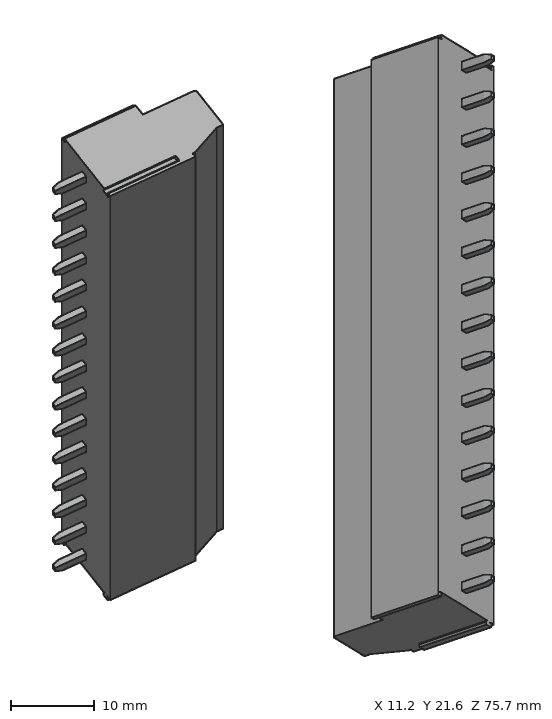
import cadquery as cq

WIDTH = 11.2
DEPTH = 17.4
LEDGE_WIDTH = 2.3
LEDGE_DEPTH = 10.0
BACK_RIGHT_X = 8.6
BACK_RIGHT_DROP = 0.9
SHOULDER_WIDTH = 0.6
SHOULDER_DEPTH = 11.95
SLOPE_FOOT_RISE = 0.3
CORNER_CHAMFER = 0.2

TOTAL_HEIGHT = 75.65
RAIL_HEIGHT = 0.6
HOUSING_HEIGHT = TOTAL_HEIGHT - RAIL_HEIGHT

LEFT_NECK = 0.45
RIGHT_NECK_START = 9.8
RIGHT_NECK_END = 10.5
FLARE = 0.265
RAIL_TIP_FLARE = 0.11
GROOVE_DEPTH = 0.6
LEAD_IN_WIDTH = 0.2
LEAD_IN_HEIGHT = 0.15

PIN_COUNT = 15
PIN_PITCH = HOUSING_HEIGHT / PIN_COUNT
PIN_X = 5.2
PIN_WIDTH = 0.9
PIN_HEIGHT = 1.1
PIN_LENGTH = 4.2
TIP_LENGTH = 0.9
TIP_WIDTH = 0.6
TIP_HEIGHT = 0.6


def make_housing():
    """Block whose stepped outline has a sloped back right corner."""
    slope_foot_x = WIDTH - SHOULDER_WIDTH
    outline = [
        (0, 0),
        (WIDTH, 0),
        (WIDTH, SHOULDER_DEPTH),
        (slope_foot_x, SHOULDER_DEPTH),
        (slope_foot_x, SHOULDER_DEPTH + SLOPE_FOOT_RISE),
        (BACK_RIGHT_X, DEPTH - BACK_RIGHT_DROP),
        (BACK_RIGHT_X, DEPTH),
        (LEDGE_WIDTH + CORNER_CHAMFER, DEPTH),
        (LEDGE_WIDTH, DEPTH - CORNER_CHAMFER),
        (LEDGE_WIDTH, LEDGE_DEPTH),
        (0, LEDGE_DEPTH),
    ]
    return cq.Workplane("XY").polyline(outline).close().extrude(HOUSING_HEIGHT)


def extrude_along_ledge(profile):
    """Bar with an XZ profile, running from the front face to the back of the ledge."""
    return cq.Workplane("XZ").polyline(profile).close().extrude(-LEDGE_DEPTH)


def make_rails():
    """Rails below the housing, widest at half height and narrower again at the tip."""
    bulge_z = -RAIL_HEIGHT / 2
    tip_z = -RAIL_HEIGHT
    left = [
        (0, 0),
        (LEFT_NECK, 0),
        (LEFT_NECK + FLARE, bulge_z),
        (LEFT_NECK + RAIL_TIP_FLARE, tip_z),
        (0, tip_z),
    ]
    right = [
        (RIGHT_NECK_START, 0),
        (RIGHT_NECK_END, 0),
        (RIGHT_NECK_END + FLARE, bulge_z),
        (RIGHT_NECK_END + RAIL_TIP_FLARE, tip_z),
        (RIGHT_NECK_START - RAIL_TIP_FLARE, tip_z),
        (RIGHT_NECK_START - FLARE, bulge_z),
    ]
    return extrude_along_ledge(left).union(extrude_along_ledge(right))


def make_grooves():
    """Groove cutters: a bevelled mouth, a neck just below it and a wider floor."""
    neck_z = HOUSING_HEIGHT - LEAD_IN_HEIGHT
    floor_z = HOUSING_HEIGHT - GROOVE_DEPTH
    left = [
        (0, HOUSING_HEIGHT),
        (LEFT_NECK + LEAD_IN_WIDTH, HOUSING_HEIGHT),
        (LEFT_NECK, neck_z),
        (LEFT_NECK + FLARE, floor_z),
        (0, floor_z),
    ]
    right = [
        (RIGHT_NECK_START, HOUSING_HEIGHT),
        (RIGHT_NECK_END + LEAD_IN_WIDTH, HOUSING_HEIGHT),
        (RIGHT_NECK_END, neck_z),
        (RIGHT_NECK_END + FLARE, floor_z),
        (RIGHT_NECK_START - FLARE, floor_z),
    ]
    return extrude_along_ledge(left).union(extrude_along_ledge(right))


def make_pin(z):
    """Rectangular pin that reaches forward from the front face and tapers at its tip."""
    shank_length = PIN_LENGTH - TIP_LENGTH
    shank = (
        cq.Workplane("XZ")
        .center(PIN_X, z)
        .rect(PIN_WIDTH, PIN_HEIGHT)
        .extrude(shank_length)
    )
    tip = (
        cq.Workplane("XZ", origin=(PIN_X, -shank_length, z))
        .rect(PIN_WIDTH, PIN_HEIGHT)
        .workplane(offset=TIP_LENGTH)
        .rect(TIP_WIDTH, TIP_HEIGHT)
        .loft()
    )
    return shank.union(tip)


result = make_housing()
result = result.cut(make_grooves())
result = result.union(make_rails())
for index in range(PIN_COUNT):
    result = result.union(make_pin((index + 0.5) * PIN_PITCH))